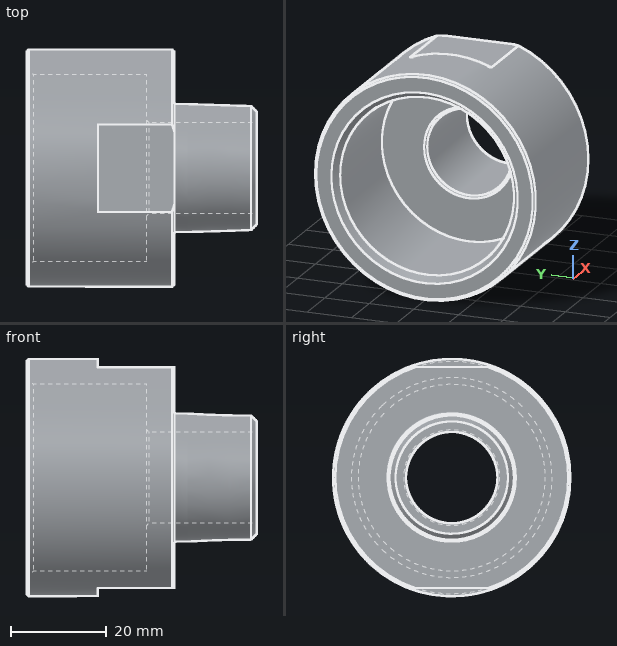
import cadquery as cq

total_length = 48.0
body_diameter = 49.5
body_length = 30.8
body_chamfer = 0.5

socket_diameter = 38.95
socket_mouth_diameter = 41.8
socket_mouth_depth = 1.45
socket_depth = 25.0

bore_diameter = 19.0
bore_chamfer = 0.5

spigot_diameter = 26.75
spigot_straight_length = 2.8
spigot_taper = 1 / 16
spigot_chamfer = 1.25
spigot_root_fillet = 0.35

flats_width = 46.05
flats_start = 14.85


def cone(x, length, start_diameter, end_diameter):
    """Solid cone or cylinder along X, starting at x."""
    profile = [
        (x, 0),
        (x, start_diameter / 2),
        (x + length, end_diameter / 2),
        (x + length, 0),
    ]
    return cq.Workplane("XY").polyline(profile).close().revolve(360, (0, 0, 0), (1, 0, 0))


def make_body():
    body = cone(0, body_length, body_diameter, body_diameter)
    return body.faces("<X or >X").edges().chamfer(body_chamfer)


def cut_flats(body):
    cut_length = body_length - flats_start
    cut_height = (body_diameter - flats_width) / 2
    for side in (1, -1):
        cutter = cq.Workplane("XY").box(cut_length, body_diameter, cut_height)
        center_z = side * (flats_width + cut_height) / 2
        body = body.cut(cutter.translate((flats_start + cut_length / 2, 0, center_z)))
    return body


def make_spigot():
    taper_start = body_length + spigot_straight_length
    taper_length = total_length - spigot_chamfer - taper_start
    taper_end_diameter = spigot_diameter - taper_length * spigot_taper
    end_diameter = taper_end_diameter - 2 * spigot_chamfer
    straight = cone(body_length, spigot_straight_length, spigot_diameter, spigot_diameter)
    taper = cone(taper_start, taper_length, spigot_diameter, taper_end_diameter)
    tip = cone(total_length - spigot_chamfer, spigot_chamfer, taper_end_diameter, end_diameter)
    return straight.union(taper).union(tip)


def fillet_spigot_root(part):
    """Round the inside corner where the spigot meets the rear face of the body."""
    margin = spigot_root_fillet / 2
    root_zone = cq.selectors.BoxSelector(
        (body_length - margin, -spigot_diameter, -spigot_diameter),
        (body_length + margin, spigot_diameter, spigot_diameter),
    )
    root_edge = part.edges("%CIRCLE").edges(root_zone).edges(cq.selectors.RadiusNthSelector(0))
    return root_edge.fillet(spigot_root_fillet)


def cut_socket(part):
    mouth = cone(0, socket_mouth_depth, socket_mouth_diameter, socket_diameter)
    return part.cut(cone(0, socket_depth, socket_diameter, socket_diameter)).cut(mouth)


def cut_bore(part):
    bore = cone(0, total_length, bore_diameter, bore_diameter)
    mouth = cone(socket_depth, bore_chamfer, bore_diameter + 2 * bore_chamfer, bore_diameter)
    return part.cut(bore).cut(mouth)


turned = fillet_spigot_root(cut_flats(make_body()).union(make_spigot()))
result = cut_bore(cut_socket(turned))